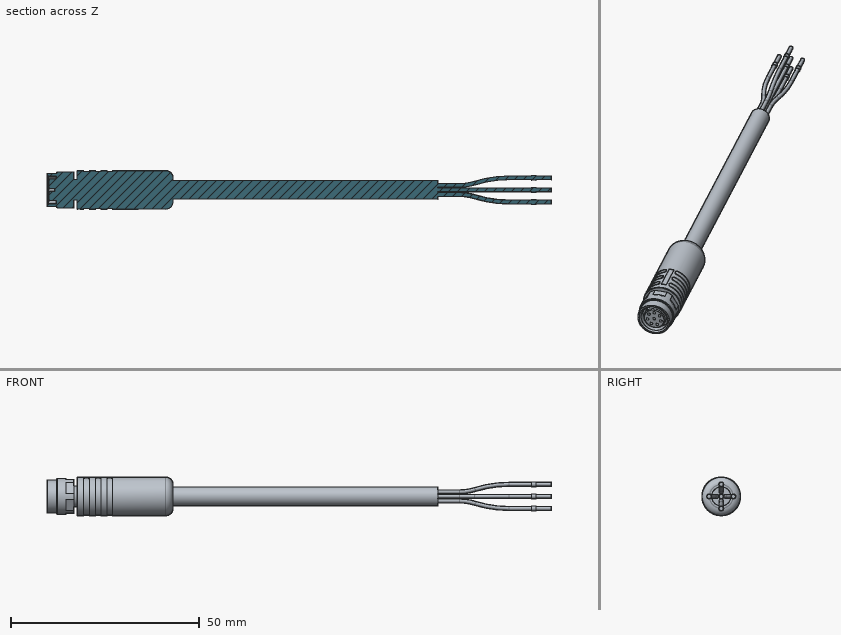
import cadquery as cq
import math

TOTAL_LENGTH = 133.4

NOSE_DIAMETER = 8.8
RING_DIAMETER = 9.6
RING_START = 2.5
RING_END = 7.1
RING_CHAMFER = 0.2
NECK_DIAMETER = 5.6
GRIP_DIAMETER = 10.3
GRIP_START = 7.9
GRIP_END = 33.3
GRIP_CHAMFER = 0.1
GRIP_FILLET = 2.0

FLAT_COUNT = 6
FLAT_START = 5.0
FLAT_DEPTH = 0.3

BORE_DIAMETER = 7.2
BORE_CHAMFER = 0.4
INSERT_DIAMETER = 5.9
INSERT_RECESS = 0.4
INSERT_CHAMFER = 0.3
BORE_DEPTH = 2.4
CONTACT_DIAMETER = 0.7
CONTACT_DEPTH = 2.0
CONTACT_CIRCLE_RADIUS = 1.9
OUTER_CONTACT_COUNT = 7

GROOVE_COUNT = 3
GROOVE_WIDTH = 1.5
GROOVE_PITCH = 3.1
FIRST_GROOVE_CENTRE = 10.4
GROOVE_DEPTH = 0.1
GROOVE_END_GAP = 1.2
MARKER_WIDTH = 1.3

CUT_MARGIN = 1.3

CABLE_DIAMETER = 5.1
CABLE_END = 103.3

WIRE_DIAMETER = 1.1
COLLAR_DIAMETER = 1.3
WIRE_START_RADIUS = 1.2
WIRE_END_RADIUS = 3.2
OUTER_WIRE_COUNT = 4
BEND_START = 109.1
BEND_MIDDLE = 113.2
BEND_END = 122.1
COLLAR_START = 128.1
COLLAR_END = 129.3


def rod(diameter, start, end):
    """Cylinder on the X axis from start to end."""
    return cq.Workplane("YZ", origin=(start, 0, 0)).circle(diameter / 2).extrude(end - start)


def make_plug():
    """Outer shape of the plug, before anything is cut from it."""
    nose = rod(NOSE_DIAMETER, 0, RING_START)
    ring = rod(RING_DIAMETER, RING_START, RING_END).faces("<X").edges().chamfer(RING_CHAMFER)
    neck = rod(NECK_DIAMETER, RING_END, GRIP_START)
    grip = rod(GRIP_DIAMETER, GRIP_START, GRIP_END)
    grip = grip.faces("<X").edges().chamfer(GRIP_CHAMFER)
    grip = grip.faces(">X").edges().fillet(GRIP_FILLET)
    return nose.union(ring).union(neck).union(grip)


def ring_flats():
    """Material outside a hexagonal bar, so that the rear of the ring gets flats, one facing +Z."""
    across_flats = RING_DIAMETER - 2 * FLAT_DEPTH
    across_corners = across_flats / math.cos(math.pi / FLAT_COUNT)
    bar = (
        cq.Workplane("YZ", origin=(FLAT_START, 0, 0))
        .polygon(FLAT_COUNT, across_corners)
        .extrude(RING_END - FLAT_START)
    )
    return rod(RING_DIAMETER + CUT_MARGIN, FLAT_START, RING_END).cut(bar)


def face_bore():
    """Flared bore in the nose, less the chamfered contact insert that stands in it."""
    mouth_diameter = BORE_DIAMETER + 2 * BORE_CHAMFER
    flare = (
        cq.Workplane("YZ")
        .circle(mouth_diameter / 2)
        .workplane(offset=BORE_CHAMFER)
        .circle(BORE_DIAMETER / 2)
        .loft()
    )
    insert = rod(INSERT_DIAMETER, INSERT_RECESS, BORE_DEPTH)
    insert = insert.faces("<X").edges().chamfer(INSERT_CHAMFER)
    return rod(BORE_DIAMETER, 0, BORE_DEPTH).union(flare).cut(insert)


def contact_holes():
    """One central hole and a ring of holes, the first one at +Z."""
    ring = (
        cq.Workplane("YZ")
        .polarArray(CONTACT_CIRCLE_RADIUS, 90, 360, OUTER_CONTACT_COUNT)
        .circle(CONTACT_DIAMETER / 2)
        .extrude(CONTACT_DEPTH)
    )
    return ring.union(rod(CONTACT_DIAMETER, 0, CONTACT_DEPTH))


def grip_groove(centre):
    """Shallow groove around the grip, with a round-ended land left at the top."""
    start = centre - GROOVE_WIDTH / 2
    end = centre + GROOVE_WIDTH / 2
    floor_diameter = GRIP_DIAMETER - 2 * GROOVE_DEPTH
    band = rod(GRIP_DIAMETER + CUT_MARGIN, start, end).cut(rod(floor_diameter, start, end))
    end_radius = GROOVE_WIDTH / 2
    end_centre = GROOVE_END_GAP + end_radius
    land = (
        cq.Workplane("XY")
        .center(centre, 0)
        .rect(GROOVE_WIDTH, 2 * end_centre)
        .extrude(GRIP_DIAMETER)
    )
    ends = (
        cq.Workplane("XY")
        .pushPoints([(centre, -end_centre), (centre, end_centre)])
        .circle(end_radius)
        .extrude(GRIP_DIAMETER)
    )
    return band.cut(land.cut(ends))


def marker_flat():
    """Flat on top of the grip that is as long as the whole set of grooves."""
    start = FIRST_GROOVE_CENTRE - GROOVE_WIDTH / 2
    length = (GROOVE_COUNT - 1) * GROOVE_PITCH + GROOVE_WIDTH
    floor_height = GRIP_DIAMETER / 2 - GROOVE_DEPTH
    return cq.Workplane("XY", origin=(start, 0, floor_height)).box(
        length, MARKER_WIDTH, CUT_MARGIN, centered=(False, True, False)
    )


def outer_wire():
    """Wire on the +Z side, offset outward by two arcs that share a tangent."""
    spread = WIRE_END_RADIUS - WIRE_START_RADIUS
    half_angle = math.atan(spread / (BEND_END - BEND_START))
    middle_height = WIRE_START_RADIUS + (BEND_MIDDLE - BEND_START) * math.tan(half_angle)
    path = (
        cq.Workplane("XZ")
        .moveTo(CABLE_END, WIRE_START_RADIUS)
        .lineTo(BEND_START, WIRE_START_RADIUS)
        .tangentArcPoint((BEND_MIDDLE, middle_height), relative=False)
        .tangentArcPoint((BEND_END, WIRE_END_RADIUS), relative=False)
        .lineTo(TOTAL_LENGTH, WIRE_END_RADIUS)
    )
    return (
        cq.Workplane("YZ", origin=(CABLE_END, 0, WIRE_START_RADIUS))
        .circle(WIRE_DIAMETER / 2)
        .sweep(path)
    )


def make_wires():
    """Centre wire and the ring of bent wires around it."""
    collar = rod(COLLAR_DIAMETER, COLLAR_START, COLLAR_END)
    wires = rod(WIRE_DIAMETER, CABLE_END, TOTAL_LENGTH).union(collar)
    bent_wire = outer_wire().union(collar.translate((0, 0, WIRE_END_RADIUS)))
    for i in range(OUTER_WIRE_COUNT):
        wires = wires.union(bent_wire.rotate((0, 0, 0), (1, 0, 0), i * 360 / OUTER_WIRE_COUNT))
    return wires


plug = make_plug().cut(ring_flats()).cut(face_bore()).cut(contact_holes())
for i in range(GROOVE_COUNT):
    plug = plug.cut(grip_groove(FIRST_GROOVE_CENTRE + i * GROOVE_PITCH))
plug = plug.cut(marker_flat())

cable = rod(CABLE_DIAMETER, GRIP_END, CABLE_END)
result = plug.union(cable).union(make_wires())